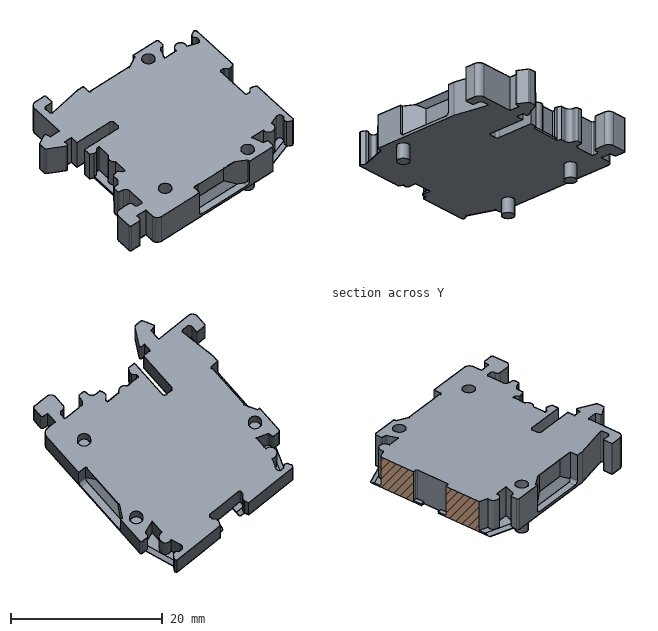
import cadquery as cq
import math

WIDTH = 26.0
HEIGHT = 28.5
THICKNESS = 5.0
PIN_LENGTH = 2.3

LEFT_WALL = 2.0
BODY_CENTRE = (LEFT_WALL + WIDTH) / 2
SLOT_CENTRE = 14.05
SHOULDER_Y = 23.55
FOOT_TOP_Y = 3.93
FOOT_BOTTOM_Y = 3.45

PLATE = 0.3
LIP = 0.09
LIP_SLOPE_WIDTH = 0.68

ENTRY_TOP = (4.2, 27.53)
ENTRY_BOTTOM = (2.76, SHOULDER_Y)
BOSS_RADIUS = 0.83
ENTRY_BOSS = (4.93, 25.05)

MOUTH_HALF = 2.45
NECK_HALF = 2.2
SLOT_HALF = 2.68
NECK_START = 0.57
NECK_END = 0.97
FLARE_END = 1.42
TOP_SLOT_DEPTH = 2.08
BOTTOM_SLOT_DEPTH = 1.8
LEDGE_Y = HEIGHT - NECK_START
GAP_HALF = 1.4
SLOT_BOSS_PROTRUSION = 0.43

RECESS_BOTTOM_Y = 10.83
RECESS_TOP_Y = 19.35
RECESS_FLOOR_Z = 0.43
RECESS_CORNER = 0.48
RECESS_FLOOR_DEPTH = 1.03
RECESS_RIM_DEPTH = 1.2
RECESS_DEPTH = 1.9
RECESS_TOP_STEP = 0.35
RECESS_BACK_Y = (12.1, 16.53)
RECESS_BACK_Z = (1.45, 4.2)

PIN_RADIUS = 0.88
UPPER_PIN_Y = 20.5
UPPER_PIN_INSET = 1.77
PIN_CENTRES = [
    (LEFT_WALL + UPPER_PIN_INSET, UPPER_PIN_Y),
    (WIDTH - UPPER_PIN_INSET, UPPER_PIN_Y),
    (22.52, 7.8),
]


def rounded_outline(corners):
    """Closed XY outline through (x, y) or (x, y, radius) corners."""
    rounds = []
    count = len(corners)
    for index, corner in enumerate(corners):
        here = cq.Vector(corner[0], corner[1])
        radius = corner[2] if len(corner) == 3 else 0
        if radius == 0:
            rounds.append((here, here, here))
            continue
        before = cq.Vector(*corners[index - 1][:2])
        after = cq.Vector(*corners[(index + 1) % count][:2])
        to_before = (before - here).normalized()
        to_after = (after - here).normalized()
        half_angle = to_before.getAngle(to_after) / 2
        bisector = (to_before + to_after).normalized()
        setback = radius / math.tan(half_angle)
        arc_distance = radius / math.sin(half_angle) - radius
        arc_start = here + to_before * setback
        arc_middle = here + bisector * arc_distance
        arc_end = here + to_after * setback
        rounds.append((arc_start, arc_middle, arc_end))

    outline = cq.Workplane("XY").moveTo(rounds[0][2].x, rounds[0][2].y)
    for start, middle, end in rounds[1:] + rounds[:1]:
        outline = outline.lineTo(start.x, start.y)
        if start is not end:
            outline = outline.threePointArc((middle.x, middle.y), (end.x, end.y))
    return outline.close()


def mirrored(corners, centre):
    """Corners reflected about the vertical line x = centre, in reverse order."""
    return [(2 * centre - corner[0], *corner[1:]) for corner in reversed(corners)]


def symmetric(corners, centre):
    """Corners followed by their mirror image."""
    return corners + mirrored(corners, centre)


def body():
    """Housing outline, counter-clockwise from the bottom of the left wall."""
    hook = [
        (LEFT_WALL, 9.8),
        (2.95, 4.5, 0.23),
        (1.48, 4.5, 0.43),
        (1.48, 5.95, 0.1),
        (0, 5.95, 0.1),
        (0, FOOT_BOTTOM_Y, 0.85),
    ]
    barbed_foot = [
        (5.95, FOOT_BOTTOM_Y),
        (5.95, 1.88),
        (5.1, 1.68, 0.15),
        (5.98, 0, 0.23),
        (7.18, 0, 0.35),
        (8.7, 2.8, 0.23),
        (7.85, 2.8),
        (7.85, FOOT_TOP_Y),
    ]
    spring_slit = [
        (8.98, FOOT_TOP_Y),
        (8.98, 9.98, 0.4),
        (10.55, 9.98, 0.4),
        (10.55, FOOT_TOP_Y),
    ]
    bottom_slot_mouth = symmetric(
        [
            (SLOT_CENTRE - MOUTH_HALF, FOOT_TOP_Y),
            (SLOT_CENTRE - NECK_HALF, FOOT_TOP_Y + NECK_START),
        ],
        SLOT_CENTRE,
    )
    rib = [
        (17.93, FOOT_TOP_Y, 0.83),
        (18.07, 2.62, 0.35),
        (19.1, 2.62, 0.17),
        (19.3, FOOT_TOP_Y, 0.57),
    ]
    clip_foot = [
        (22.55, FOOT_TOP_Y, 0.17),
        (22.55, 2.8, 0.3),
        (21.52, 2.8, 0.45),
        (21.52, 0, 0.83),
        (24.75, 0, 0.23),
        (24.75, 1.82, 0.35),
        (23.8, 1.9),
        (23.8, FOOT_BOTTOM_Y),
        (WIDTH, FOOT_BOTTOM_Y, 0.85),
    ]
    left_shoulder = [
        (4.0, HEIGHT),
        (3.82, 28.22),
        ENTRY_TOP,
        ENTRY_BOTTOM,
        (LEFT_WALL, SHOULDER_Y, 0.25),
    ]
    top_slot_ledges = symmetric(
        [
            (SLOT_CENTRE + MOUTH_HALF, HEIGHT),
            (SLOT_CENTRE + NECK_HALF, LEDGE_Y),
            (SLOT_CENTRE + GAP_HALF, LEDGE_Y, 0.28),
            (SLOT_CENTRE + GAP_HALF, HEIGHT - TOP_SLOT_DEPTH),
        ],
        SLOT_CENTRE,
    )
    right_shoulder = mirrored(left_shoulder, BODY_CENTRE)
    corners = hook + barbed_foot + spring_slit + bottom_slot_mouth + rib + clip_foot
    corners += right_shoulder + top_slot_ledges + left_shoulder
    return rounded_outline(corners).extrude(THICKNESS)


def sloped_plate(edge_start, edge_end):
    """Plate lying to the left of a directed edge, its top sloping down to a thin lip there."""
    start = cq.Vector(*edge_start)
    along = (cq.Vector(*edge_end) - start).normalized()
    inward = cq.Vector(0, 0, 1).cross(along)
    section = [
        (0, 0),
        (0, LIP),
        (LIP_SLOPE_WIDTH, PLATE),
        (HEIGHT, PLATE),
        (HEIGHT, 0),
    ]
    plane = cq.Plane(origin=start.toTuple(), xDir=inward.toTuple(), normal=along.toTuple())
    return cq.Workplane(plane).polyline(section).close().extrude(WIDTH, both=True)


def boss(centre):
    """Round post of full thickness."""
    return cq.Workplane("XY").center(*centre).circle(BOSS_RADIUS).extrude(THICKNESS)


def wire_entry():
    """Cut for the left wire entry: a slanted pocket with a round boss standing in it."""
    pocket = rounded_outline(
        [
            ENTRY_TOP,
            (4.55, 27.42),
            (5.02, 27.75, 0.23),
            (6.0, 27.75, 0.45),
            (5.02, 25.1),
            (5.02, 22.23),
            (3.35, 22.83, 0.23),
            (3.22, SHOULDER_Y, 0.17),
            ENTRY_BOTTOM,
        ]
    ).extrude(THICKNESS)
    return pocket.cut(sloped_plate(ENTRY_TOP, ENTRY_BOTTOM)).cut(boss(ENTRY_BOSS))


def dovetail(mouth_y, inward, depth, corner):
    """Dovetail slot prism; inward is +1 or -1 along Y."""
    half = [
        (SLOT_CENTRE - MOUTH_HALF, mouth_y),
        (SLOT_CENTRE - NECK_HALF, mouth_y + inward * NECK_START),
        (SLOT_CENTRE - NECK_HALF, mouth_y + inward * NECK_END),
        (SLOT_CENTRE - SLOT_HALF, mouth_y + inward * FLARE_END),
        (SLOT_CENTRE - SLOT_HALF, mouth_y + inward * depth, corner),
    ]
    return rounded_outline(symmetric(half, SLOT_CENTRE)).extrude(THICKNESS)


def top_slot():
    """Cut for the upper dovetail, leaving plate ledges with a sloped edge."""
    slot = dovetail(HEIGHT, -1, TOP_SLOT_DEPTH, 0.17)
    return slot.cut(sloped_plate((WIDTH, LEDGE_Y), (0, LEDGE_Y)))


def bottom_slot():
    """Cut for the lower dovetail, leaving a flat plate and a round boss in its end wall."""
    slot = dovetail(FOOT_TOP_Y, 1, BOTTOM_SLOT_DEPTH, 0)
    boss_y = FOOT_TOP_Y + BOTTOM_SLOT_DEPTH - SLOT_BOSS_PROTRUSION + BOSS_RADIUS
    return slot.translate((0, 0, PLATE)).cut(boss((SLOT_CENTRE, boss_y)))


def side_recess():
    """Cut for the left wall recess: where its front, side and end profiles overlap."""
    rim = LEFT_WALL + RECESS_RIM_DEPTH
    back = LEFT_WALL + RECESS_DEPTH
    plan = [
        (LEFT_WALL, RECESS_BOTTOM_Y),
        (rim, RECESS_BOTTOM_Y),
        (back, RECESS_BACK_Y[0]),
        (back, RECESS_BACK_Y[1]),
        (LEFT_WALL + RECESS_TOP_STEP, RECESS_TOP_Y),
        (LEFT_WALL, RECESS_TOP_Y),
    ]
    section = [
        (LEFT_WALL, RECESS_FLOOR_Z),
        (LEFT_WALL + RECESS_FLOOR_DEPTH, RECESS_FLOOR_Z),
        (back, RECESS_BACK_Z[0]),
        (back, RECESS_BACK_Z[1]),
        (rim, THICKNESS),
        (LEFT_WALL, THICKNESS),
    ]
    opening_height = RECESS_TOP_Y - RECESS_BOTTOM_Y
    opening = (
        cq.Workplane("XY")
        .box(WIDTH, opening_height, THICKNESS, centered=False)
        .edges("|X and <Z")
        .fillet(RECESS_CORNER)
        .translate((0, RECESS_BOTTOM_Y, RECESS_FLOOR_Z))
    )
    plan_prism = cq.Workplane("XY").polyline(plan).close().extrude(THICKNESS)
    section_prism = cq.Workplane("XZ").polyline(section).close().extrude(-HEIGHT)
    return plan_prism.intersect(section_prism).intersect(opening)


def both_sides(left_cut):
    """A left-hand cut together with its mirror image about the body centre."""
    right_cut = left_cut.mirror("YZ").translate((2 * BODY_CENTRE, 0, 0))
    return left_cut.add(right_cut).combine()


def pins(face_z):
    """Pin-sized cylinders reaching down from the given height."""
    face = cq.Workplane("XY").workplane(offset=face_z)
    return face.pushPoints(PIN_CENTRES).circle(PIN_RADIUS).extrude(-PIN_LENGTH)


result = (
    body()
    .cut(both_sides(wire_entry()))
    .cut(both_sides(side_recess()))
    .cut(top_slot())
    .cut(bottom_slot())
    .cut(pins(THICKNESS))
    .union(pins(0))
)